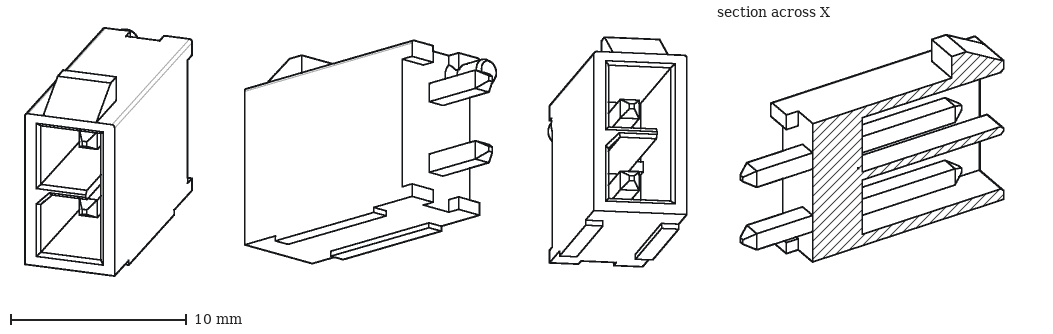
import cadquery as cq


width = 5.4
height = 9.3
length = 13.62
top_edge_radius = 0.17

recess_depth = 0.8
recess_face = length - recess_depth
top_lug_height = 0.98
bottom_lug_height = 0.75
notch_width = 2.04

foot_width = 1.0
foot_height = 0.3
foot_start = 2.5
foot_end = 10.51

latch_width = 3.2
overall_height = 11.05
latch_height = overall_height - height - foot_height
latch_flat_start = 2.54
latch_end = 3.52

cavity_width = 3.6
cavity_bottom = 0.8
cavity_top = 8.58
cavity_depth = 9.5
passage_depth = 8.63
mouth_bevel = 0.2
web_bottom = 4.4
web_top = 4.97
web_end = 0.97
key_chamfer = 0.67

pin_side = 1.09
pin_tip_side = 0.3
pin_tip_length = 0.69
pin_pitch = 4.2
lower_pin_height = 2.59
pin_front = 2.59
pin_rear = 17.26

peg_diameter = 1.5
peg_x = -1.76
peg_z = 8.01
peg_end = 15.33
peg_tip_length = 0.26
peg_tip_inset = 0.15
peg_root_start = 13.51
peg_root_radius = 1.05


def block(x_range, y_range, z_range):
    """Box spanning the given ranges."""
    (x0, x1), (y0, y1), (z0, z1) = x_range, y_range, z_range
    return cq.Workplane("XY").box(x1 - x0, y1 - y0, z1 - z0, centered=False).translate((x0, y0, z0))


def xz_plane(y):
    """Workplane at depth y whose normal points to the rear and whose local y is +Z."""
    return cq.Workplane(cq.Plane(origin=(0, y, 0), xDir=(-1, 0, 0), normal=(0, 1, 0)))


def pocket(outline):
    """Cavity chamber with the given XZ outline and a 45 degree bevel around its mouth."""
    points = [(-x, z) for x, z in outline]
    chamber = xz_plane(0).polyline(points).close().extrude(cavity_depth)
    return chamber.union(flare(points))


def flare(points):
    """Mouth bevel: the outline grown by the bevel at the face, tapering back to the outline."""
    return xz_plane(0).polyline(points).close().offset2D(mouth_bevel, "intersection").extrude(
        mouth_bevel, taper=45
    )


def rear_recess():
    """Open space behind the housing between the two lugs, plus the notch through both lugs."""
    rear = (recess_face, length)
    side = (-width / 2, width / 2)
    lug_gap = block(side, rear, (bottom_lug_height, height - top_lug_height))
    notch = block((-notch_width / 2, notch_width / 2), rear, (0, height))
    return lug_gap.union(notch)


def cavity():
    half = cavity_width / 2
    upper = pocket([(-half, web_top), (half, web_top), (half, cavity_top), (-half, cavity_top)])
    lower = pocket([
        (-half, cavity_bottom),
        (half, cavity_bottom),
        (half, web_bottom),
        (-half + key_chamfer, web_bottom),
        (-half, web_bottom - key_chamfer),
    ])
    passage_outline = [
        (web_end, 0),
        (half + mouth_bevel, 0),
        (half, mouth_bevel),
        (half, passage_depth),
        (web_end, passage_depth),
    ]
    passage = cq.Workplane("XY").polyline(passage_outline).close().extrude(web_top - web_bottom)
    passage = passage.translate((0, 0, web_bottom))
    return upper.union(lower).union(passage)


def latch():
    profile = [
        (0, height),
        (latch_flat_start, height + latch_height),
        (latch_end, height + latch_height),
        (latch_end, height),
    ]
    return cq.Workplane("YZ").polyline(profile).close().extrude(latch_width / 2, both=True)


def foot(side):
    inner = side * (width / 2 - foot_width)
    outer = side * width / 2
    return block(sorted((inner, outer)), (foot_start, foot_end), (-foot_height, 0))


def pin(z):
    """Square pin with a truncated pyramid at each end."""
    shank = block(
        (-pin_side / 2, pin_side / 2),
        (pin_front + pin_tip_length, pin_rear - pin_tip_length),
        (z - pin_side / 2, z + pin_side / 2),
    )
    for base, direction in ((pin_rear - pin_tip_length, 1), (pin_front + pin_tip_length, -1)):
        plane = cq.Plane(origin=(0, base, z), xDir=(1, 0, 0), normal=(0, direction, 0))
        tip = cq.Workplane(plane).rect(pin_side, pin_side)
        tip = tip.workplane(offset=pin_tip_length).rect(pin_tip_side, pin_tip_side).loft(ruled=True)
        shank = shank.union(tip)
    return shank


def peg():
    """Round peg, revolved about its own axis and trimmed flush with the housing side."""
    radius = peg_diameter / 2
    profile = [
        (0, recess_face),
        (peg_root_radius, recess_face),
        (radius, peg_root_start),
        (radius, peg_end - peg_tip_length),
        (radius - peg_tip_inset, peg_end),
        (0, peg_end),
    ]
    body = cq.Workplane("XY").polyline(profile).close().revolve(360, (0, 0), (0, 1))
    body = body.translate((peg_x, 0, peg_z))
    return body.intersect(block((-width / 2, width / 2), (0, peg_end), (0, height)))


housing = block((-width / 2, width / 2), (0, length), (0, height))
housing = housing.edges("|Y and >Z").fillet(top_edge_radius)
housing = housing.cut(rear_recess()).cut(cavity())

result = housing.union(latch()).union(peg())
for side in (-1, 1):
    result = result.union(foot(side))
for level in range(2):
    result = result.union(pin(lower_pin_height + level * pin_pitch))